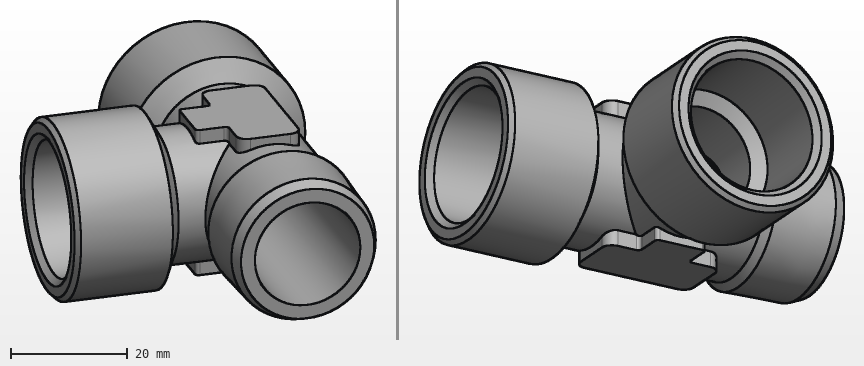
import cadquery as cq
import math

socket_reach = 36.5
spigot_reach = 32.0
body_radius = 24.0 / 2
passage_radius = 19.0 / 2

socket_radius = 32.0 / 2
socket_edge = 0.9
socket_length = 17.4
shoulder_angle = 30.0
bore_radius = 24.1 / 2
bore_mouth_radius = 13.2
bore_mouth_depth = bore_mouth_radius - bore_radius
bore_depth = 16.45
bore_cone_angle = 30.0

spigot_length = 15.5
spigot_shoulder = 1.4
spigot_large_radius = 13.35
spigot_chamfer_length = 2.25
spigot_end_radius = 12.0
taper_on_radius = 1 / 32

pad_height = 13.5
pad_width = 22.4
pad_depth = 11.2
pad_corner = 2.0
stem_width = 9.7
stem_reach = 11.4
stem_corner = 0.7


def revolve_x(profile):
    """Revolve a closed (x, radius) profile about the X axis."""
    return cq.Workplane("XY").polyline(profile).close().revolve(360, (0, 0, 0), (1, 0, 0))


def socket_outside():
    """Barrel and shoulder pointing to -X, with the body tube up to the origin."""
    face = -socket_reach
    barrel_end = face + socket_length
    shoulder = (socket_radius - body_radius) * math.tan(math.radians(shoulder_angle))
    return revolve_x([
        (face, 0),
        (face, socket_radius - socket_edge),
        (face + socket_edge, socket_radius),
        (barrel_end, socket_radius),
        (barrel_end + shoulder, body_radius),
        (0, body_radius),
        (0, 0),
    ])


def socket_inside():
    """Chamfered bore pointing to -X, narrowing to the passage up to the origin."""
    face = -socket_reach
    bore_end = face + bore_depth
    cone = (bore_radius - passage_radius) * math.tan(math.radians(bore_cone_angle))
    return revolve_x([
        (face, 0),
        (face, bore_mouth_radius),
        (face + bore_mouth_depth, bore_radius),
        (bore_end, bore_radius),
        (bore_end + cone, passage_radius),
        (0, passage_radius),
        (0, 0),
    ])


def spigot_outside():
    """Body tube from the origin to +X, ending in the tapered male end."""
    start = spigot_reach - spigot_length
    taper_start = start + spigot_shoulder
    taper_end = spigot_reach - spigot_chamfer_length
    small_radius = spigot_large_radius - (taper_end - taper_start) * taper_on_radius
    return revolve_x([
        (0, 0),
        (0, body_radius),
        (start, body_radius),
        (taper_start, spigot_large_radius),
        (taper_end, small_radius),
        (spigot_reach, spigot_end_radius),
        (spigot_reach, 0),
    ])


def tee_pads():
    """T-shaped block whose two ends are the top and bottom pads."""
    thickness = 2 * pad_height
    bar = cq.Workplane("XY").box(pad_width, pad_depth, thickness).edges("|Z").fillet(pad_corner)
    stem = (
        cq.Workplane("XY")
        .box(stem_width, stem_reach, thickness)
        .translate((0, -stem_reach / 2, 0))
        .edges("|Z and <Y")
        .fillet(stem_corner)
    )
    inner_corners = cq.selectors.BoxSelector(
        (-stem_width / 2 - stem_corner, -pad_depth / 2 - stem_corner, -pad_height),
        (stem_width / 2 + stem_corner, -pad_depth / 2 + stem_corner, pad_height),
    )
    return bar.union(stem).edges("|Z").edges(inner_corners).fillet(stem_corner)


def as_branch(shape):
    """Turn a shape pointing to -X so that it points to -Y."""
    return shape.rotate((0, 0, 0), (0, 0, 1), 90)


outside = (
    socket_outside()
    .union(as_branch(socket_outside()))
    .union(spigot_outside())
    .union(tee_pads())
)
spigot_passage = cq.Workplane("YZ").circle(passage_radius).extrude(spigot_reach)
result = (
    outside
    .cut(socket_inside())
    .cut(as_branch(socket_inside()))
    .cut(spigot_passage)
)